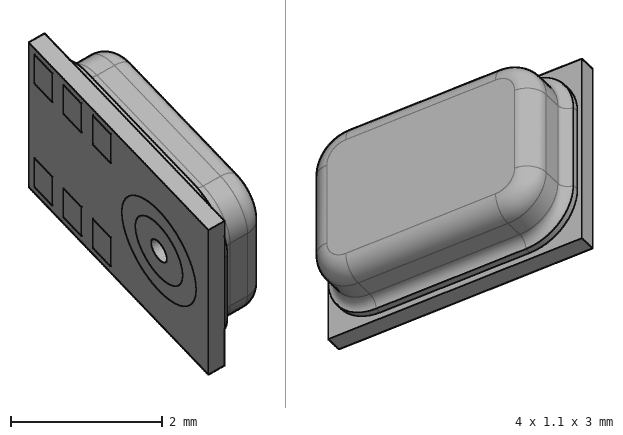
import cadquery as cq
import math


board_length = 4.0
board_height = 3.0
board_thickness = 0.265
total_depth = 1.1

contact_thickness = 0.04
pad_length = 0.4
pad_height = 0.6
pad_edge_gap = 0.13
pad_pitch = 0.65
pads_per_row = 3

ring_outer_diameter = 1.65
ring_inner_diameter = 1.05
port_diameter = 0.35
port_x = 0.9

corner_spacing_x = 2.36
corner_spacing_z = 1.3
dome_corner_radius = 0.6
dome_edge_radius = 0.3
foot_fillet_radius = dome_edge_radius / 2
flange_thickness = 0.1

first_pad_x = -board_length / 2 + pad_edge_gap + pad_length / 2
pad_row_z = board_height / 2 - pad_edge_gap - pad_height / 2
pad_centers = [
    (first_pad_x + column * pad_pitch, row_z)
    for row_z in (pad_row_z, -pad_row_z)
    for column in range(pads_per_row)
]
flange_corner_radius = dome_corner_radius + foot_fillet_radius
flange_top_y = board_thickness + flange_thickness


def plane_at(y):
    """XZ work plane at depth y: local x is X, local y is Z, extrusion runs toward -Y."""
    return cq.Workplane("XZ", origin=(0, y, 0))


def make_pad(center):
    """One rectangular solder pad, sunk into the board from its contact face."""
    return plane_at(0).center(*center).rect(pad_length, pad_height).extrude(-contact_thickness)


def make_seal_ring():
    """Flat annular contact around the sound port."""
    return (
        plane_at(0)
        .center(port_x, 0)
        .circle(ring_outer_diameter / 2)
        .circle(ring_inner_diameter / 2)
        .extrude(-contact_thickness)
    )


def make_board(contacts):
    """Plate with the sound port through it and a recess for every contact."""
    plate = plane_at(0).rect(board_length, board_height).extrude(-board_thickness)
    port = plane_at(0).center(port_x, 0).circle(port_diameter / 2).extrude(-board_thickness)
    plate = plate.cut(port)
    for contact in contacts:
        plate = plate.cut(contact)
    return plate


def rounded_outline(start_y, corner_radius):
    """Rectangle with round corners about the lid's four shared corner axes."""
    outline = cq.Sketch().rect(
        corner_spacing_x + 2 * corner_radius, corner_spacing_z + 2 * corner_radius
    )
    return plane_at(start_y).placeSketch(outline.vertices().fillet(corner_radius))


def make_foot_flare(dome):
    """Concave fillet between flange and dome, swept once around the base of the dome."""
    dome_base_outline = dome.faces("<Y").wires()
    dome_side_z = corner_spacing_z / 2 + dome_corner_radius
    arc_midpoint = foot_fillet_radius * (1 - math.sqrt(0.5))
    return (
        cq.Workplane("YZ", origin=(0, flange_top_y, dome_side_z))
        .lineTo(foot_fillet_radius, 0)
        .threePointArc((arc_midpoint, arc_midpoint), (0, foot_fillet_radius))
        .close()
        .sweep(dome_base_outline)
    )


def make_lid():
    """Flange, foot flare and round-edged dome as one solid."""
    flange = rounded_outline(board_thickness, flange_corner_radius).extrude(-flange_thickness)
    dome = rounded_outline(flange_top_y, dome_corner_radius).extrude(flange_top_y - total_depth)
    dome = dome.faces(">Y").edges().fillet(dome_edge_radius)
    return flange.union(dome).union(make_foot_flare(dome))


pads = [make_pad(center) for center in pad_centers]
seal_ring = make_seal_ring()
board = make_board([*pads, seal_ring])
lid = make_lid()

result = cq.Compound.makeCompound(
    [board.solids().val(), lid.solids().val(), seal_ring.val(), *[pad.val() for pad in pads]]
)